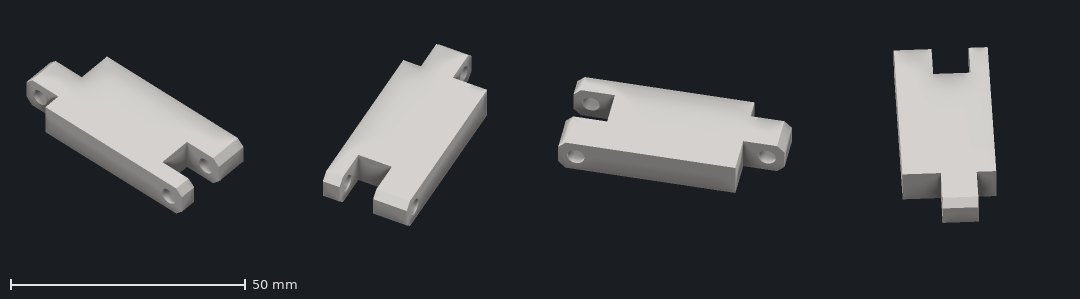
import cadquery as cq

length = 47.6
width = 20.0
height = 7.6

joint_depth = 9.0
slot_width = 8.0
tongue_width = 7.6
front_arm_width = 4.0
joint_y = -width / 2 + front_arm_width + slot_width / 2

hole_diameter = 3.8
hole_inset = height / 2
end_chamfer = 1.6


def box_between(x_start, x_end, y_center, y_size):
    """Full-height block spanning two X positions."""
    return cq.Workplane("XY").box(x_end - x_start, y_size, height).translate(
        ((x_start + x_end) / 2, y_center, 0)
    )


left_end = -length / 2
right_end = length / 2

body = box_between(left_end + joint_depth, right_end, 0, width)
tongue = box_between(left_end, left_end + joint_depth, joint_y, tongue_width)
slot = box_between(right_end - joint_depth, right_end, joint_y, slot_width)
link = body.union(tongue).cut(slot)

link = link.faces("<X or >X").edges("|Y").chamfer(end_chamfer)

hole_x = length / 2 - hole_inset
pin_holes = (
    cq.Workplane("XZ")
    .pushPoints([(-hole_x, 0), (hole_x, 0)])
    .circle(hole_diameter / 2)
    .extrude(width / 2, both=True)
)
result = link.cut(pin_holes)